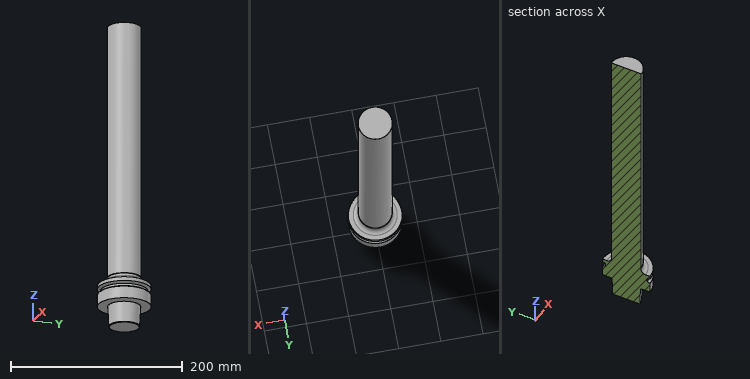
import cadquery as cq
import math

total_height = 371.0
shaft_radius = 20.0

shank_height = 25.2
shank_top_radius = 19.3
shank_bottom_radius = 18.0
shank_chamfer = 0.7

flange_radius = 31.5
flange_height = 26.0
groove_floor_radius = 28.0
groove_width = 7.0
groove_center_height = 17.8
groove_side_angle = 30.0

neck_radius = 19.5
transition_radius = 6.0
neck_height = 9.0
shaft_chamfer = 0.5

flange_top = shank_height + flange_height
groove_middle = shank_height + groove_center_height
groove_side_rise = (flange_radius - groove_floor_radius) * math.tan(math.radians(groove_side_angle))
groove_floor_width = groove_width - 2 * groove_side_rise
neck_top = flange_top + neck_height


def make_shank():
    """Tapered shank, narrowing downward, with a chamfered end."""
    return (
        cq.Workplane("XZ")
        .lineTo(shank_bottom_radius - shank_chamfer, 0)
        .lineTo(shank_bottom_radius, shank_chamfer)
        .lineTo(shank_top_radius, shank_height)
        .lineTo(0, shank_height)
        .close()
        .revolve(360, (0, 0, 0), (0, 1, 0))
    )


def make_flange():
    """Round flange with its gripper groove."""
    return (
        cq.Workplane("XZ")
        .moveTo(0, shank_height)
        .lineTo(flange_radius, shank_height)
        .lineTo(flange_radius, groove_middle - groove_width / 2)
        .lineTo(groove_floor_radius, groove_middle - groove_floor_width / 2)
        .lineTo(groove_floor_radius, groove_middle + groove_floor_width / 2)
        .lineTo(flange_radius, groove_middle + groove_width / 2)
        .lineTo(flange_radius, flange_top)
        .lineTo(0, flange_top)
        .close()
        .revolve(360, (0, 0, 0), (0, 1, 0))
    )


def make_shaft():
    """Long shaft on a slightly thinner neck that flares into the flange."""
    flare_end = (neck_radius, flange_top + transition_radius)
    flare_offset = transition_radius * (1 - math.sqrt(0.5))
    flare_middle = (neck_radius + flare_offset, flange_top + flare_offset)
    return (
        cq.Workplane("XZ")
        .moveTo(0, flange_top)
        .lineTo(neck_radius + transition_radius, flange_top)
        .threePointArc(flare_middle, flare_end)
        .lineTo(neck_radius, neck_top)
        .lineTo(shaft_radius, neck_top + shaft_chamfer)
        .lineTo(shaft_radius, total_height)
        .lineTo(0, total_height)
        .close()
        .revolve(360, (0, 0, 0), (0, 1, 0))
    )


result = make_shank().union(make_flange()).union(make_shaft())